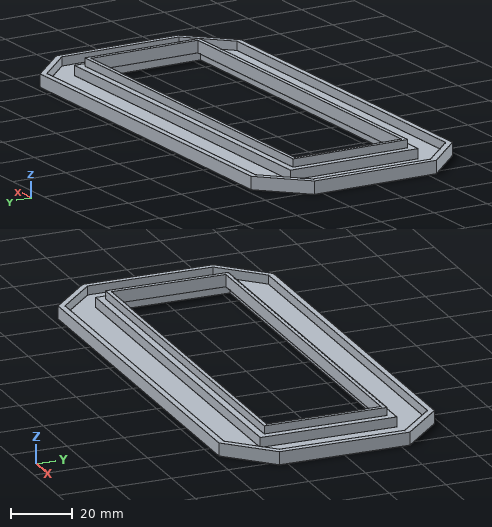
import cadquery as cq

length = 165.0
width = 76.0
total_height = 7.8
rim_height = 4.6
corner_cut = 15.0
rim_wall = 2.1
floor_thickness = 1.5

window_length = 130.0
window_width = 40.3
collar_wall = 1.5
ledge_width = 2.5
ledge_height = 5.0
ledge_roof = 1.5

collar_length = window_length + 2 * collar_wall
collar_width = window_width + 2 * collar_wall
ledge_length = collar_length + 2 * ledge_width
ledge_outer_width = collar_width + 2 * ledge_width

def block(size_x, size_y, height):
    """Centred rectangular block standing on the bottom plane."""
    return cq.Workplane("XY").box(size_x, size_y, height, centered=(True, True, False))

plate = block(length, width, rim_height).edges("|Z").chamfer(corner_cut)
recess = (
    plate.faces(">Z").wires().toPending()
    .workplane().offset2D(-rim_wall)
    .extrude(floor_thickness - rim_height, combine=False)
)
tray = plate.cut(recess)

ledge = block(ledge_length, ledge_outer_width, ledge_height)
collar = block(collar_length, collar_width, total_height)
window = block(window_length, window_width, total_height)

underside_pocket = block(
    ledge_length - 2 * collar_wall,
    ledge_outer_width - 2 * collar_wall,
    ledge_height - ledge_roof,
)

result = tray.union(ledge).union(collar).cut(window).cut(underside_pocket)